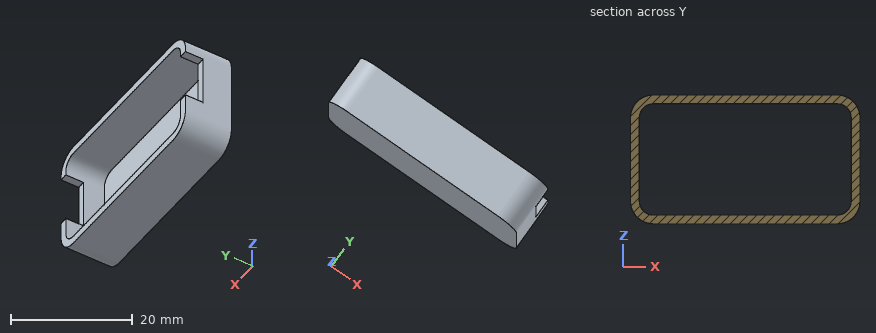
import cadquery as cq

length = 37.7
depth = 9.0
height = 21.19
corner_radius = 3.77

wall = 1.5

notch_height = 9.5
notch_depth = 3.45
notch_bottom = 7.15


def rounded_block(size_x, size_y, size_z, radius):
    """Centred block with its four Y-direction edges rounded."""
    return cq.Workplane("XY").box(size_x, size_y, size_z).edges("|Y").fillet(radius)


def make_cavity():
    """Volume removed from the shell, running from the front plate to the +Y rim."""
    cavity = rounded_block(
        length - 2 * wall,
        depth - wall,
        height - 2 * wall,
        corner_radius - wall,
    )
    return cavity.translate((0, wall / 2, 0))


def make_notch():
    """Bar through the full length that opens both end walls at the rim."""
    center_y = (depth - notch_depth) / 2
    center_z = -height / 2 + notch_bottom + notch_height / 2
    notch = cq.Workplane("XY").box(length, notch_depth, notch_height)
    return notch.translate((0, center_y, center_z))


shell = rounded_block(length, depth, height, corner_radius).cut(make_cavity())
result = shell.cut(make_notch())